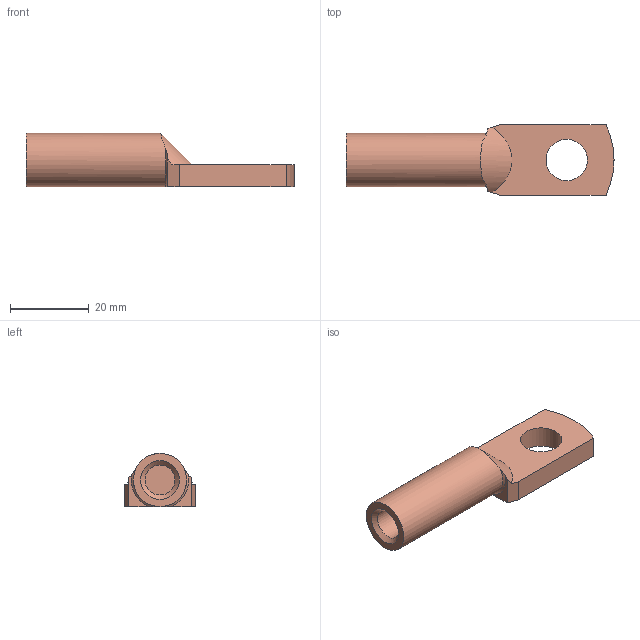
import cadquery as cq
import math

length = 68.0
barrel_diameter = 13.5
barrel_radius = barrel_diameter / 2
bore_diameter = 7.6
bore_depth = 30.0
countersink_diameter = 9.8
countersink_depth = (countersink_diameter - bore_diameter) / 2

palm_width = 17.8
palm_thickness = 5.6
palm_start = 35.9
palm_start_width = 15.75
palm_taper_end = 38.9
palm_corner = 66.0
bolt_hole_diameter = 10.5
bolt_hole_x = 56.0

collar_length = 0.45
collar_growth = 0.55

shoulder_angle = 45.0
shoulder_top_x = 34.2
shoulder_radius = 11.3


def palm_outline():
    """Plan outline: tapered start, parallel sides and an arched tip."""
    half_width = palm_width / 2
    half_start = palm_start_width / 2
    return (
        cq.Workplane("XY")
        .moveTo(palm_start, -half_start)
        .lineTo(palm_taper_end, -half_width)
        .lineTo(palm_corner, -half_width)
        .threePointArc((length, 0), (palm_corner, half_width))
        .lineTo(palm_taper_end, half_width)
        .lineTo(palm_start, half_start)
        .close()
    )


def barrel():
    """Solid barrel with its flared collar, trimmed flat at Z = 0."""
    profile = (
        cq.Workplane("XZ")
        .lineTo(0, barrel_radius)
        .lineTo(palm_start - collar_length, barrel_radius)
        .lineTo(palm_start, barrel_radius + collar_growth)
        .lineTo(palm_start, 0)
        .close()
    )
    round_body = profile.revolve(360, (0, 0, 0), (1, 0, 0)).translate((0, 0, barrel_radius))
    above_base = cq.Workplane("XY").box(
        length, palm_width, barrel_diameter * 2, centered=(False, True, False)
    )
    return round_body.intersect(above_base)


def shoulder_space():
    """Everything beneath the sloping shoulder: a half cylinder with straight flanks."""
    slope = math.radians(shoulder_angle)
    slope_direction = (math.cos(slope), 0, -math.sin(slope))
    sloping_plane = cq.Plane(
        origin=(shoulder_top_x, 0, barrel_diameter),
        xDir=(math.sin(slope), 0, math.cos(slope)),
        normal=slope_direction,
    )
    return (
        cq.Workplane(sloping_plane)
        .moveTo(-length, -shoulder_radius)
        .lineTo(-shoulder_radius, -shoulder_radius)
        .threePointArc((0, 0), (-shoulder_radius, shoulder_radius))
        .lineTo(-length, shoulder_radius)
        .close()
        .extrude(length, both=True)
    )


def bore():
    """Blind wire bore with a conical mouth."""
    bore_radius = bore_diameter / 2
    return (
        cq.Workplane("XZ")
        .lineTo(0, countersink_diameter / 2)
        .lineTo(countersink_depth, bore_radius)
        .lineTo(bore_depth, bore_radius)
        .lineTo(bore_depth, 0)
        .close()
        .revolve(360, (0, 0, 0), (1, 0, 0))
        .translate((0, 0, barrel_radius))
    )


def bolt_hole():
    """Round hole through the palm."""
    hole_radius = bolt_hole_diameter / 2
    return cq.Workplane("XY").center(bolt_hole_x, 0).circle(hole_radius).extrude(palm_thickness)


palm = palm_outline().extrude(palm_thickness)
shoulder_block = palm_outline().extrude(barrel_diameter)
shouldered_body = barrel().union(shoulder_block).intersect(shoulder_space())
result = shouldered_body.union(palm).cut(bore()).cut(bolt_hole())